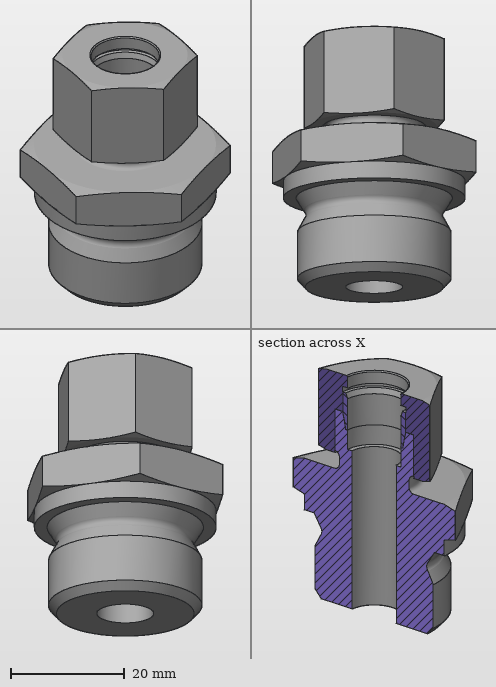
import cadquery as cq
import math


total_height = 44.5
thread_chamfer_top = 1.5
thread_top = 9.9
groove_round_bottom = 12.1
groove_round_top = 13.8
collar_bottom = 16.0
hex_bottom = 19.05
hex_top = 26.0
neck_top = 28.35
nut_bottom = 28.92
tube_stop = 30.4
body_top = 37.4
ring_top = 41.1
nut_recess_top = 42.1

hex_width = 32.0
nut_width = 22.0
hex_half_angle = 30.0
collar_diameter = hex_width
thread_diameter = 27.0
thread_tip_diameter = 24.2
groove_diameter = 24.05
groove_round_end_diameter = 24.65
groove_top_diameter = 27.5
neck_diameter = 16.0
nut_thread_diameter = 18.0
ring_diameter = 14.3
ring_mouth_diameter = 12.8
tube_diameter = 12.0
bore_diameter = 10.0

neck_fillet = (nut_thread_diameter - neck_diameter) / 2
ring_mouth_depth = 1.02
nut_mouth_chamfer = 0.22
corner_chamfer_angle = 15.0
cone_half_angle = 12.0
cone_depth = 3.25
cone_tip_diameter = ring_diameter - 2 * cone_depth * math.tan(math.radians(cone_half_angle))


def cylinder(diameter, bottom, top):
    return cq.Workplane("XY").workplane(offset=bottom).circle(diameter / 2).extrude(top - bottom)


def cone(bottom_diameter, top_diameter, bottom, top):
    solid = cq.Solid.makeCone(
        bottom_diameter / 2, top_diameter / 2, top - bottom, pnt=cq.Vector(0, 0, bottom)
    )
    return cq.Workplane(solid)


def chamfered_hexagon(width, bottom, top):
    """Hexagon with flats on +-X, its corners turned down conically at both ends."""
    corner_diameter = width / math.cos(math.radians(hex_half_angle))
    corner_drop = (corner_diameter - width) / 2 * math.tan(math.radians(corner_chamfer_angle))
    prism = (
        cq.Workplane("XY")
        .workplane(offset=bottom)
        .polygon(6, corner_diameter)
        .extrude(top - bottom)
        .rotate((0, 0, 0), (0, 0, 1), hex_half_angle)
    )
    turned_envelope = (
        cq.Workplane("XZ")
        .moveTo(0, bottom)
        .lineTo(width / 2, bottom)
        .lineTo(corner_diameter / 2, bottom + corner_drop)
        .lineTo(corner_diameter / 2, top - corner_drop)
        .lineTo(width / 2, top)
        .lineTo(0, top)
        .close()
        .revolve(360, (0, 0, 0), (0, 1, 0))
    )
    return prism.intersect(turned_envelope)


def make_lower_shank():
    """Chamfered thread, rounded V groove and sealing collar below the hexagon."""
    groove_middle = (groove_round_bottom + groove_round_top) / 2
    return (
        cq.Workplane("XZ")
        .lineTo(thread_tip_diameter / 2, 0)
        .lineTo(thread_diameter / 2, thread_chamfer_top)
        .lineTo(thread_diameter / 2, thread_top)
        .lineTo(groove_round_end_diameter / 2, groove_round_bottom)
        .threePointArc(
            (groove_diameter / 2, groove_middle),
            (groove_round_end_diameter / 2, groove_round_top),
        )
        .lineTo(groove_top_diameter / 2, collar_bottom)
        .lineTo(collar_diameter / 2, collar_bottom)
        .lineTo(collar_diameter / 2, hex_bottom)
        .lineTo(0, hex_bottom)
        .close()
        .revolve(360, (0, 0, 0), (0, 1, 0))
    )


def make_upper_shank():
    """Neck filleted at both ends, then the stub that carries the nut."""
    neck_radius = neck_diameter / 2
    stub_radius = nut_thread_diameter / 2
    arc_inset = neck_fillet * (1 - math.sqrt(0.5))
    return (
        cq.Workplane("XZ")
        .moveTo(0, hex_top)
        .lineTo(stub_radius, hex_top)
        .threePointArc(
            (neck_radius + arc_inset, hex_top + arc_inset),
            (neck_radius, hex_top + neck_fillet),
        )
        .lineTo(neck_radius, neck_top)
        .threePointArc(
            (neck_radius + arc_inset, neck_top + neck_fillet - arc_inset),
            (stub_radius, neck_top + neck_fillet),
        )
        .lineTo(stub_radius, body_top)
        .lineTo(0, body_top)
        .close()
        .revolve(360, (0, 0, 0), (0, 1, 0))
    )


def make_ring_blank():
    """Outside shape of the cutting ring: plain head over a tapered nose."""
    head = cylinder(ring_diameter, body_top, ring_top)
    nose = cone(cone_tip_diameter, ring_diameter, body_top - cone_depth, body_top)
    return head.union(nose)


def make_body():
    outside = (
        make_lower_shank()
        .union(chamfered_hexagon(hex_width, hex_bottom, hex_top))
        .union(make_upper_shank())
    )
    return (
        outside
        .cut(cylinder(bore_diameter, 0, body_top))
        .cut(cylinder(tube_diameter, tube_stop, body_top))
        .cut(make_ring_blank())
    )


def make_cutting_ring():
    mouth = cone(tube_diameter, ring_mouth_diameter, ring_top - ring_mouth_depth, ring_top)
    return (
        make_ring_blank()
        .cut(cylinder(tube_diameter, body_top - cone_depth, ring_top))
        .cut(mouth)
    )


def make_nut():
    nut_mouth_diameter = tube_diameter + 2 * nut_mouth_chamfer
    mouth = cone(tube_diameter, nut_mouth_diameter, total_height - nut_mouth_chamfer, total_height)
    return (
        chamfered_hexagon(nut_width, nut_bottom, total_height)
        .cut(cylinder(nut_thread_diameter, nut_bottom, body_top))
        .cut(cylinder(ring_diameter, body_top, nut_recess_top))
        .cut(cylinder(tube_diameter, nut_recess_top, total_height))
        .cut(mouth)
    )


body = make_body()
cutting_ring = make_cutting_ring()
nut = make_nut()

result = cq.Compound.makeCompound([body.solids().val(), cutting_ring.solids().val(), nut.solids().val()])